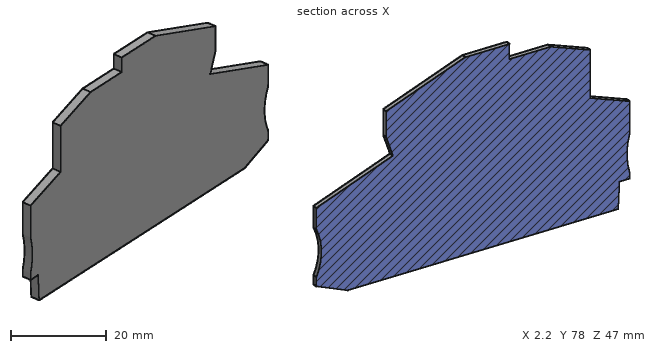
import cadquery as cq
import math

thickness = 2.2
length = 78.0
height = 46.95
rear = length / 2
front = -length / 2
roof_slope = math.tan(math.radians(20))

rear_shoulder_z = 21.85
rear_notch_top = 16.7
rear_notch_bottom = 5.45
rear_notch_depth = 1.25
rear_bevel_length = 7.8
rear_bevel_height = 3.2

front_shoulder_z = 24.8
front_notch_top = 16.9
front_notch_bottom = 8.0
front_notch_depth = 0.6
foot_height = 6.4
foot_top_inset = 2.5
foot_bottom_inset = 2.8

tower_rear = 21.7
tower_front = -29.2
tower_eave_z = 39.8
undercut_top_z = 33.7
undercut_y = 20.0
peak_front = -9.1
step_z = 43.4

undercut_bottom_z = rear_shoulder_z + (rear - undercut_y) * roof_slope
front_wing_top_z = front_shoulder_z + (tower_front - front) * roof_slope
peak_rear = tower_rear - (height - tower_eave_z) / roof_slope
step_front = tower_front + (step_z - tower_eave_z) / roof_slope

rear_notch_middle = (rear - rear_notch_depth, (rear_notch_top + rear_notch_bottom) / 2)
front_notch_middle = (front + front_notch_depth, (front_notch_top + front_notch_bottom) / 2)

profile = (
    cq.Workplane("YZ")
    .workplane(offset=-thickness / 2)
    .moveTo(front + foot_bottom_inset, 0)
    .lineTo(rear - rear_bevel_length, 0)
    .lineTo(rear, rear_bevel_height)
    .lineTo(rear, rear_notch_bottom)
    .threePointArc(rear_notch_middle, (rear, rear_notch_top))
    .lineTo(rear, rear_shoulder_z)
    .lineTo(undercut_y, undercut_bottom_z)
    .lineTo(tower_rear, undercut_top_z)
    .lineTo(tower_rear, tower_eave_z)
    .lineTo(peak_rear, height)
    .lineTo(peak_front, height)
    .lineTo(peak_front, step_z)
    .lineTo(step_front, step_z)
    .lineTo(tower_front, tower_eave_z)
    .lineTo(tower_front, front_wing_top_z)
    .lineTo(front, front_shoulder_z)
    .lineTo(front, front_notch_top)
    .threePointArc(front_notch_middle, (front, front_notch_bottom))
    .lineTo(front, foot_height)
    .lineTo(front + foot_top_inset, foot_height)
    .close()
)

result = profile.extrude(thickness)